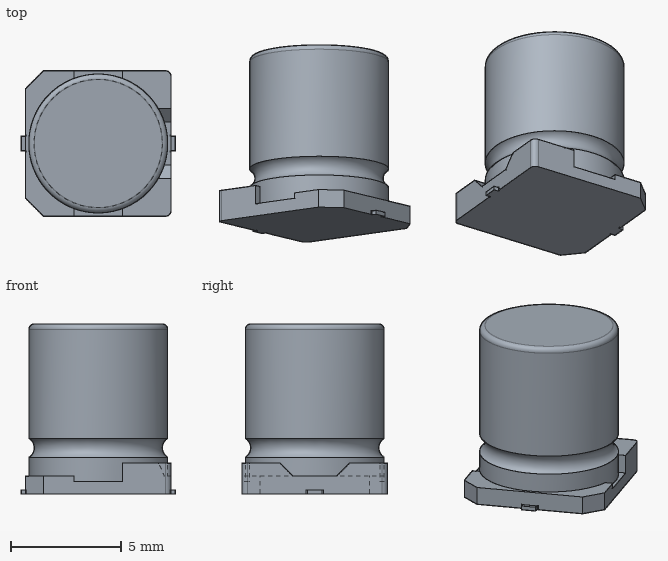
import cadquery as cq

total_height = 7.71
base_side = 6.6
lead_span = 7.0

can_diameter = 6.3
rim_fillet = 0.25
groove_bottom = 1.665
groove_top = 2.53
groove_depth = 0.24

shelf_height = 0.81
block_height = 1.4
recess_floor = 0.56
recess_half_width = 1.11
corner_chamfer = 0.82
corner_fillet = 0.255
notch_bottom_width = 1.965

lead_width = 0.66
lead_thickness = 0.185
pocket_width = 0.79
pocket_depth = 0.04

half_side = base_side / 2
can_radius = can_diameter / 2


def make_base():
    """Stepped base: shelf on -X, shallow recess in the middle, thick blocks on +X."""
    profile = [
        (-half_side, 0),
        (half_side, 0),
        (half_side, block_height),
        (recess_half_width, block_height),
        (recess_half_width, recess_floor),
        (-recess_half_width, recess_floor),
        (-recess_half_width, shelf_height),
        (-half_side, shelf_height),
    ]
    base = cq.Workplane("XZ").polyline(profile).close().extrude(half_side, both=True)
    base = base.edges("|Z and <X").chamfer(corner_chamfer)
    return base.edges("|Z and >X").fillet(corner_fillet)


def make_block_notch():
    """Notch with 45 degree sides that splits the thick +X side into two blocks."""
    notch_depth = block_height - shelf_height
    half_bottom = notch_bottom_width / 2
    half_top = half_bottom + notch_depth
    profile = [
        (-half_bottom, shelf_height),
        (half_bottom, shelf_height),
        (half_top, block_height),
        (-half_top, block_height),
    ]
    notch = cq.Workplane("YZ").workplane(offset=recess_half_width)
    return notch.polyline(profile).close().extrude(half_side - recess_half_width)


def make_can():
    """Solid of revolution with a crimp groove near the foot and a rounded top rim."""
    groove_middle = (groove_bottom + groove_top) / 2
    can = (
        cq.Workplane("XZ")
        .moveTo(0, recess_floor)
        .lineTo(can_radius, recess_floor)
        .lineTo(can_radius, groove_bottom)
        .threePointArc((can_radius - groove_depth, groove_middle), (can_radius, groove_top))
        .lineTo(can_radius, total_height)
        .lineTo(0, total_height)
        .close()
        .revolve(360, (0, 0), (0, 1))
    )
    return can.faces(">Z").edges().fillet(rim_fillet)


def make_bottom_strip(length, width):
    """Flat strip along X, one lead thickness high, resting on the bottom plane."""
    return cq.Workplane("XY").box(length, width, lead_thickness, centered=(True, True, False))


def make_lead_pockets():
    """Shallow pockets in the -X and +X end faces, around the leads."""
    core = make_bottom_strip(base_side - 2 * pocket_depth, pocket_width)
    return make_bottom_strip(base_side, pocket_width).cut(core)


base = make_base().cut(make_block_notch()).cut(make_lead_pockets())
leads = make_bottom_strip(lead_span, lead_width)
result = base.union(make_can()).union(leads)